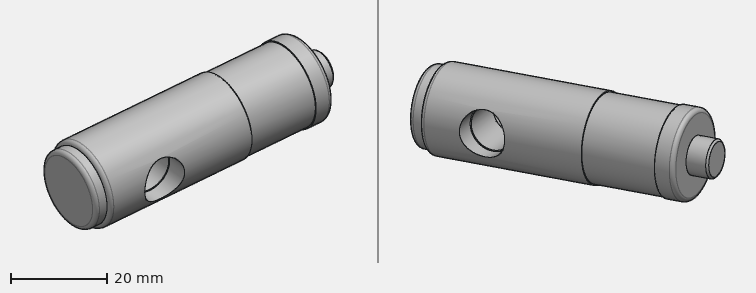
import cadquery as cq

overall_length = 67.0
barrel_diameter = 20.0
edge_radius = 1.0

nose_length = 3.0
nose_diameter = barrel_diameter - 2 * edge_radius
neck_diameter = 19.5
neck_start = 40.55
neck_end = 57.5

hole_position = 17.5
hole_diameter = 10.0
counterbore_diameter = 10.5
counterbore_depth = 5.0

cap_end = 62.0
spigot_diameter = 8.5
spigot_chamfer = 0.5

front_face = -overall_length / 2


def cylinder(diameter, start, end):
    """Solid cylinder on the Y axis between two distances from the front face."""
    plane = cq.Plane(origin=(0, front_face + start, 0), xDir=(1, 0, 0), normal=(0, 1, 0))
    return cq.Workplane(plane).circle(diameter / 2).extrude(end - start)


def cross_cutter(diameter, start_x, length):
    """Cylinder along +X through the cross hole centre."""
    plane = cq.Plane(origin=(start_x, front_face + hole_position, 0), xDir=(0, 1, 0), normal=(1, 0, 0))
    return cq.Workplane(plane).circle(diameter / 2).extrude(length)


def make_barrel():
    """Barrel with a rounded nose, a slightly thinner neck and a cross hole counterbored at both ends."""
    nose = cylinder(nose_diameter, 0, nose_length).faces("<Y").edges().fillet(edge_radius)
    sleeve = cylinder(barrel_diameter, nose_length, neck_start).faces("<Y").edges().fillet(edge_radius)
    neck = cylinder(neck_diameter, neck_start, neck_end)
    barrel = sleeve.union(nose).union(neck)

    side = barrel_diameter / 2
    barrel = barrel.cut(cross_cutter(hole_diameter, -side, barrel_diameter))
    for start_x in (-side, side - counterbore_depth):
        barrel = barrel.cut(cross_cutter(counterbore_diameter, start_x, counterbore_depth))
    return barrel


def make_end_cap():
    """Cap with a rounded rear edge and a central spigot, seated on the end of the neck."""
    cap = cylinder(barrel_diameter, neck_end, cap_end).faces(">Y").edges().fillet(edge_radius)
    spigot = cylinder(spigot_diameter, cap_end, overall_length)
    spigot = spigot.faces(">Y").edges().chamfer(spigot_chamfer)
    return cap.union(spigot)


barrel = make_barrel()
end_cap = make_end_cap()

result = cq.Compound.makeCompound([barrel.val(), end_cap.val()])